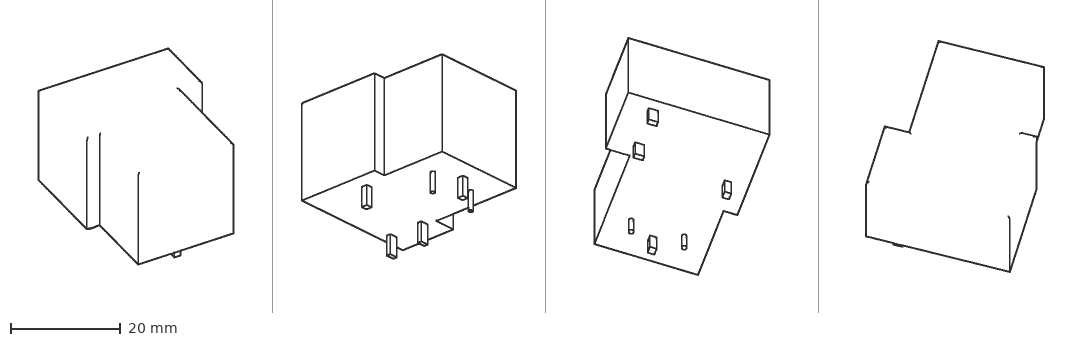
import cadquery as cq

length = 32.2
width = 27.2
total_height = 24.2
pin_length = 4.1
housing_height = total_height - pin_length

front_step_x = 17.95
front_step_depth = 2.65
back_step_x = 12.5
back_step_depth = 4.6
top_edge_radius = 0.5

coil_pin_diameter = 0.9
coil_pin_x = 25.3
coil_pin_spacing = 10.2
coil_pin_front_y = 7.7
coil_pin_back_y = coil_pin_front_y + coil_pin_spacing

contact_pin_x_size = 0.9
contact_pin_y_size = 1.8
contact_pin_y = 21.7
contact_pin_spacing = 7.62
contact_pin_first_x = 2.33
contact_pin_second_x = contact_pin_first_x + contact_pin_spacing

front_pin_size = 1.3
front_pin_x = 12.4
front_pin_y = 3.95

common_pin_size = 1.3
common_pin_x = 27.8
common_pin_y = 13.0


def make_housing():
    """Stepped block standing on Z = 0, with its whole top rim rounded."""
    front_wall_y = front_step_depth
    back_wall_y = width - back_step_depth
    outline = [
        (0, 0),
        (front_step_x, 0),
        (front_step_x, front_wall_y),
        (length, front_wall_y),
        (length, back_wall_y),
        (back_step_x, back_wall_y),
        (back_step_x, width),
        (0, width),
    ]
    block = cq.Workplane("XY").polyline(outline).close().extrude(housing_height)
    return block.faces(">Z").edges().fillet(top_edge_radius)


def make_round_pin(x, y):
    """Round pin hanging from the underside of the housing."""
    return cq.Workplane("XY").center(x, y).circle(coil_pin_diameter / 2).extrude(-pin_length)


def make_flat_pin(x, y, x_size, y_size):
    """Rectangular pin hanging from the underside of the housing."""
    return cq.Workplane("XY").center(x, y).rect(x_size, y_size).extrude(-pin_length)


housing = make_housing()

coil_pins = [make_round_pin(coil_pin_x, y) for y in (coil_pin_front_y, coil_pin_back_y)]

contact_pins = [
    make_flat_pin(x, contact_pin_y, contact_pin_x_size, contact_pin_y_size)
    for x in (contact_pin_first_x, contact_pin_second_x)
]

front_pin = make_flat_pin(front_pin_x, front_pin_y, front_pin_size, front_pin_size)

common_pin = make_flat_pin(common_pin_x, common_pin_y, common_pin_size, common_pin_size)

result = cq.Compound.makeCompound([
    housing.val(),
    *[pin.val() for pin in coil_pins],
    *[pin.val() for pin in contact_pins],
    front_pin.val(),
    common_pin.val(),
])